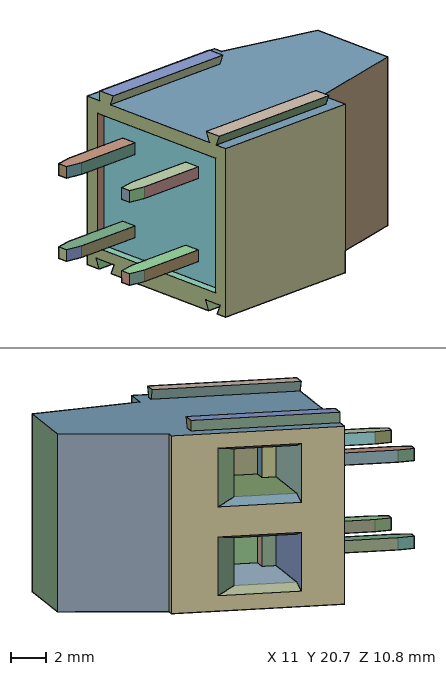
import cadquery as cq


WIDTH = 11.0
HEIGHT = 10.16
DEPTH = 16.02
LEFT_SHOULDER_Y = 10.0
RIGHT_SHOULDER_Y = 9.4
NECK_LEFT, NECK_RIGHT = 0.55, 9.2
TIP_LEFT, TIP_RIGHT = 2.11, 7.68

RECESS_MARGIN = 0.8
RECESS_BOTTOM = 1.25
RECESS_DEPTH = 0.54

PITCH = 5.0
PIN_LEFT = 2.28
PIN_BOTTOM = 2.42
PIN_WIDTH = 1.0
PIN_THICKNESS = 0.7
PIN_PROJECTION = 4.68
PIN_TAPER_LENGTH = 1.0
PIN_TAPER_INSET = 0.19

RAIL_HEIGHT = 0.6
RAIL_LENGTH = 8.61
LEFT_RAIL_X = 1.0
LEFT_RAIL_BASE_WIDTH = 0.85
LEFT_RAIL_TOP_WIDTH = 1.08
RIGHT_RAIL_X = 9.7
RIGHT_RAIL_BASE_WIDTH = 0.54
RAIL_FLARE = 0.25
LEFT_GROOVE_X = 0.95
LEFT_GROOVE_WIDTH = 0.93
RIGHT_GROOVE_X = 9.65
RIGHT_GROOVE_WIDTH = 0.66

ENTRY_FRONT_Y = 2.5
ENTRY_BACK_Y = 7.3
ENTRY_BOTTOM = 0.9
ENTRY_HEIGHT = 3.35
ENTRY_PITCH = 5.07
FUNNEL_DEPTH = 1.0
PASSAGE_BACK_Y = 6.13
PASSAGE_INSET = 0.31
PASSAGE_DEPTH = 6.5
LEDGE_Y = 3.31
LEDGE_DEPTH = 5.5


def prism_along_y(profile, length):
    """Extrude an X-Z outline from the pin face towards +Y."""
    return cq.Workplane("XZ").polyline(profile).close().extrude(-length)


def make_housing():
    outline = [
        (0, 0),
        (WIDTH, 0),
        (WIDTH, RIGHT_SHOULDER_Y),
        (NECK_RIGHT, RIGHT_SHOULDER_Y),
        (TIP_RIGHT, DEPTH),
        (TIP_LEFT, DEPTH),
        (NECK_LEFT, LEFT_SHOULDER_Y),
        (0, LEFT_SHOULDER_Y),
    ]
    return cq.Workplane("XY").polyline(outline).close().extrude(HEIGHT)


def make_recess():
    width = WIDTH - 2 * RECESS_MARGIN
    height = HEIGHT - RECESS_MARGIN - RECESS_BOTTOM
    recess = cq.Workplane("XY").box(width, RECESS_DEPTH, height, centered=False)
    return recess.translate((RECESS_MARGIN, 0, RECESS_BOTTOM))


def make_pin(left, bottom):
    right = left + PIN_WIDTH
    tip_y = -PIN_PROJECTION
    taper_y = tip_y + PIN_TAPER_LENGTH
    outline = [
        (left, RECESS_DEPTH),
        (left, taper_y),
        (left + PIN_TAPER_INSET, tip_y),
        (right - PIN_TAPER_INSET, tip_y),
        (right, taper_y),
        (right, RECESS_DEPTH),
    ]
    pin = cq.Workplane("XY").polyline(outline).close().extrude(PIN_THICKNESS)
    return pin.translate((0, 0, bottom))


def make_dovetail(left, narrow_width, left_flare, right_flare, bottom):
    """Bar whose narrow side is down and which flares out towards +Z."""
    right = left + narrow_width
    top = bottom + RAIL_HEIGHT
    profile = [
        (left, bottom),
        (right, bottom),
        (right + right_flare, top),
        (left - left_flare, top),
    ]
    return prism_along_y(profile, RAIL_LENGTH)


def make_entry(bottom):
    """Funnel tapering on three sides, then a passage with a ledge at its front."""
    length = ENTRY_BACK_Y - ENTRY_FRONT_Y
    passage_length = PASSAGE_BACK_Y - ENTRY_FRONT_Y
    passage_height = ENTRY_HEIGHT - 2 * PASSAGE_INSET
    passage_bottom = bottom + PASSAGE_INSET
    funnel = (
        cq.Workplane("YZ")
        .center(ENTRY_FRONT_Y + length / 2, bottom + ENTRY_HEIGHT / 2)
        .rect(length, ENTRY_HEIGHT)
        .workplane(offset=FUNNEL_DEPTH)
        .center((passage_length - length) / 2, 0)
        .rect(passage_length, passage_height)
        .loft(ruled=True)
    )
    passage_outline = [
        (0, ENTRY_FRONT_Y),
        (LEDGE_DEPTH, ENTRY_FRONT_Y),
        (LEDGE_DEPTH, LEDGE_Y),
        (PASSAGE_DEPTH, LEDGE_Y),
        (PASSAGE_DEPTH, PASSAGE_BACK_Y),
        (0, PASSAGE_BACK_Y),
    ]
    passage = cq.Workplane("XY").polyline(passage_outline).close().extrude(passage_height)
    return funnel.union(passage.translate((0, 0, passage_bottom)))


result = make_housing().cut(make_recess())

left_rail_flare = LEFT_RAIL_TOP_WIDTH - LEFT_RAIL_BASE_WIDTH
result = result.union(make_dovetail(LEFT_RAIL_X, LEFT_RAIL_BASE_WIDTH, 0, left_rail_flare, HEIGHT))
result = result.union(make_dovetail(RIGHT_RAIL_X, RIGHT_RAIL_BASE_WIDTH, RAIL_FLARE, RAIL_FLARE, HEIGHT))

for groove_x, groove_width in (
    (LEFT_GROOVE_X, LEFT_GROOVE_WIDTH),
    (RIGHT_GROOVE_X, RIGHT_GROOVE_WIDTH),
):
    result = result.cut(make_dovetail(groove_x, groove_width, RAIL_FLARE, RAIL_FLARE, 0))

for row in range(2):
    result = result.cut(make_entry(ENTRY_BOTTOM + row * ENTRY_PITCH))
    for column in range(2):
        pin = make_pin(PIN_LEFT + column * PITCH, PIN_BOTTOM + row * PITCH)
        result = result.union(pin)